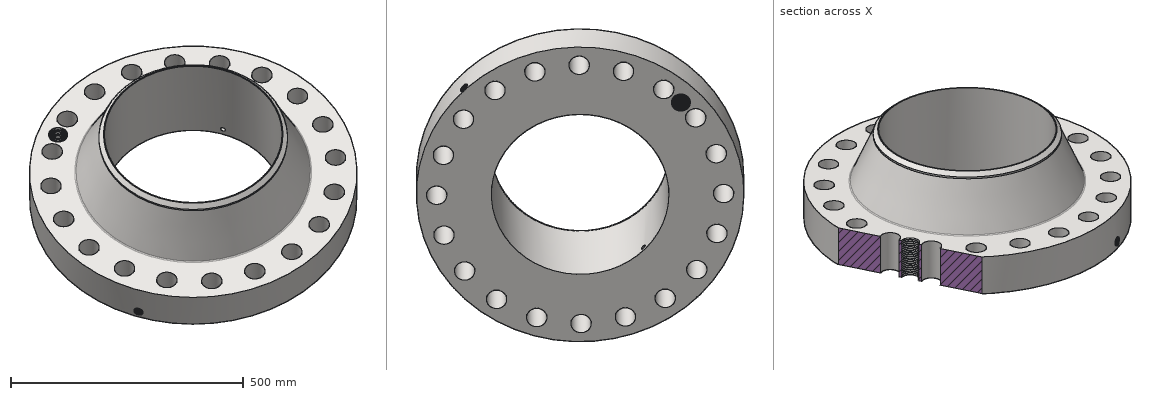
import cadquery as cq

flange_radius = 352.5
flange_thickness = 90.0
overall_height = 216.0

hub_base_radius = 253.0
neck_radius = 203.0
bore_radius = 191.0
neck_land_width = 2.0
neck_straight_height = 4.0
bevel_height = 9.0
hub_fillet_radius = 3.0

bolt_count = 20
bolt_circle_radius = 309.0
bolt_hole_diameter = 44.0

jackscrew_major_diameter = 41.0
jackscrew_minor_diameter = 37.0
jackscrew_thread_count = 20
jackscrew_pitch = flange_thickness / jackscrew_thread_count

tap_height = 17.0
tap_major_diameter = 20.5
tap_minor_diameter = 17.5
tap_pitch = 1.8
tap_thread_count = 11
tap_bore_diameter = 10.5


def make_body():
    """Revolve the ring section of the flange and its welding neck about Z."""
    bevel_bottom = overall_height - bevel_height
    taper_top = bevel_bottom - neck_straight_height
    section = (
        cq.Workplane("XZ")
        .moveTo(bore_radius, 0)
        .lineTo(flange_radius, 0)
        .lineTo(flange_radius, flange_thickness)
        .lineTo(hub_base_radius, flange_thickness)
        .lineTo(neck_radius, taper_top)
        .lineTo(neck_radius, bevel_bottom)
        .lineTo(bore_radius + neck_land_width, overall_height)
        .lineTo(bore_radius, overall_height)
        .close()
    )
    body = section.revolve(360, (0, 0, 0), (0, 1, 0))
    second_largest = cq.selectors.RadiusNthSelector(-2)
    hub_foot = body.edges("%CIRCLE").edges(second_largest)
    return hub_foot.fillet(hub_fillet_radius)


def make_bolt_holes():
    """Cylinders on the bolt circle, straddling the X and Y axes."""
    half_pitch = 180 / bolt_count
    return (
        cq.Workplane("XY")
        .polarArray(bolt_circle_radius, half_pitch, 360, bolt_count)
        .circle(bolt_hole_diameter / 2)
        .extrude(flange_thickness)
    )


def make_threaded_hole(major_diameter, minor_diameter, pitch, thread_count):
    """Hole running down from Z = 0, its thread simplified to a stack of V-shaped rings."""
    major = major_diameter / 2
    minor = minor_diameter / 2
    section = cq.Workplane("XZ").lineTo(major, 0)
    for turn in range(thread_count):
        section = section.lineTo(minor, -(turn + 0.5) * pitch)
        section = section.lineTo(major, -(turn + 1) * pitch)
    section = section.lineTo(0, -thread_count * pitch).close()
    return section.revolve(360, (0, 0, 0), (0, 1, 0))


def make_jackscrew_hole():
    """Hole parallel to Z, threaded through the full flange thickness."""
    hole = make_threaded_hole(
        jackscrew_major_diameter, jackscrew_minor_diameter, jackscrew_pitch, jackscrew_thread_count
    )
    return hole.translate((-bolt_circle_radius, 0, flange_thickness))


def make_pressure_tap(side):
    """Radial hole from the rim to the bore; side is -1 or +1 along Y."""
    mouth = make_threaded_hole(tap_major_diameter, tap_minor_diameter, tap_pitch, tap_thread_count)
    passage = cq.Workplane("XY").circle(tap_bore_diameter / 2).extrude(-flange_radius)
    tap = mouth.union(passage).rotate((0, 0, 0), (1, 0, 0), -90 * side)
    return tap.translate((0, side * flange_radius, tap_height))


result = make_body().cut(make_bolt_holes()).cut(make_jackscrew_hole())
for side in (-1, 1):
    result = result.cut(make_pressure_tap(side))